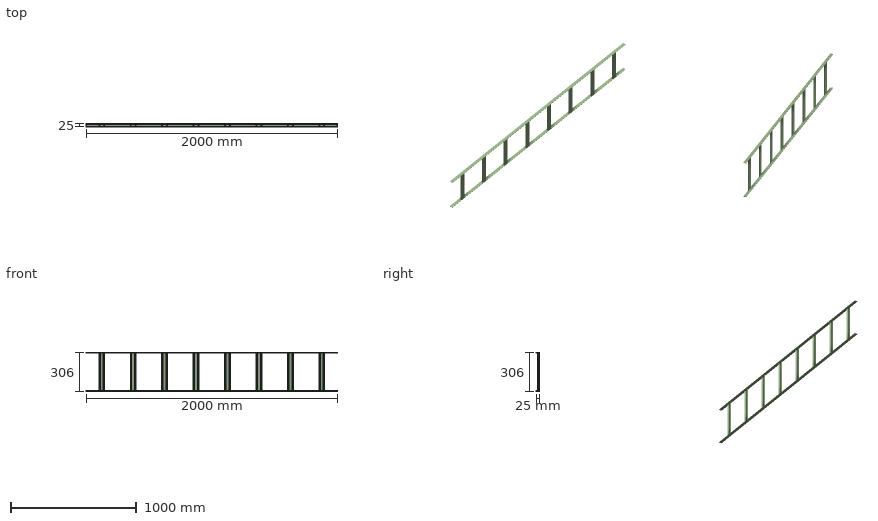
import cadquery as cq
import math

rail_length = 2000.0
rail_half_width = 12.5
rail_thickness = 3.0
rung_length = 300.0

rung_count = 8
rung_pitch = rail_length / rung_count

sheet_thickness = 2.0
channel_depth = 11.0
mouth_half_width = 19.5
flare_angle = math.radians(56)


def make_rail(side):
    """Flat rail lying against the rung ends; side is +1 for the upper rail, -1 for the lower."""
    center_z = side * (rung_length + rail_thickness) / 2
    rail = cq.Workplane("XY").box(rail_length, 2 * rail_half_width, rail_thickness)
    return rail.translate((0, 0, center_z))


def rung_section():
    """Closed outline of the rung in X and Y, with its floor flush with the +Y rail edges."""
    back_y = rail_half_width
    floor_y = back_y - sheet_thickness
    tip_y = back_y - channel_depth

    floor_half_width = mouth_half_width - (floor_y - tip_y) / math.tan(flare_angle)
    back_half_width = floor_half_width + sheet_thickness * math.tan(flare_angle / 2)

    outer_tip_x = mouth_half_width + sheet_thickness * math.sin(flare_angle)
    outer_tip_y = tip_y + sheet_thickness * math.cos(flare_angle)

    right_half = [
        (floor_half_width, floor_y),
        (mouth_half_width, tip_y),
        (outer_tip_x, outer_tip_y),
        (back_half_width, back_y),
    ]
    left_half = [(-x, y) for x, y in reversed(right_half)]
    return right_half + left_half


def make_rung(center_x):
    """Upright channel that fills the gap between the rails."""
    rung = cq.Workplane("XY").polyline(rung_section()).close().extrude(rung_length)
    return rung.translate((center_x, 0, -rung_length / 2))


rails = [make_rail(side) for side in (-1, 1)]

first_rung_x = (rung_pitch - rail_length) / 2
rungs = [make_rung(first_rung_x + i * rung_pitch) for i in range(rung_count)]

result = cq.Compound.makeCompound([body.val() for body in rails + rungs])